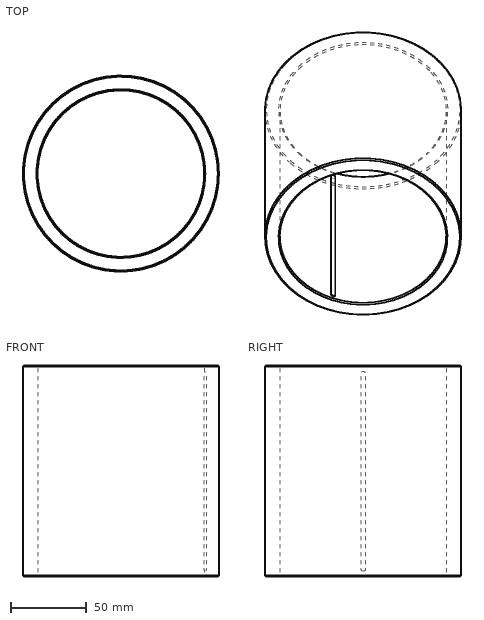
import cadquery as cq

length = 140.0
outer_diameter = 130.0
bore_diameter = 110.0
edge_chamfer = 1.0

groove_radius = 1.5
groove_end_margin = 3.9


def make_sleeve():
    tube = (
        cq.Workplane("XY")
        .circle(outer_diameter / 2)
        .circle(bore_diameter / 2)
        .extrude(length)
    )
    return tube.faces("<Z or >Z").edges().chamfer(edge_chamfer)


def make_groove_cutter():
    """Ball-ended rod centred on the bore wall."""
    ball_offset = groove_end_margin + groove_radius
    ball_heights = (ball_offset, length - ball_offset)
    wall_x = bore_diameter / 2
    cutter = (
        cq.Workplane("XY", origin=(wall_x, 0, ball_heights[0]))
        .circle(groove_radius)
        .extrude(ball_heights[1] - ball_heights[0])
    )
    for height in ball_heights:
        ball = cq.Workplane("XY", origin=(wall_x, 0, height)).sphere(groove_radius)
        cutter = cutter.union(ball)
    return cutter


result = make_sleeve().cut(make_groove_cutter())